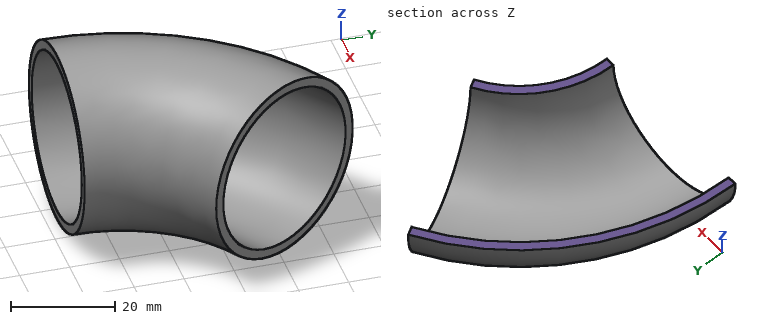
import cadquery as cq
import math

length_y = 55.45
outer_diameter = 38.0
wall = 2.0
bend_angle = 60.0

outer_radius = outer_diameter / 2
inner_radius = outer_radius - wall

bend_radius = length_y / math.sin(math.radians(bend_angle)) - outer_radius

axis_start = (bend_radius, 0)
axis_end = (bend_radius, -1)

result = (
    cq.Workplane("XZ")
    .circle(outer_radius)
    .circle(inner_radius)
    .revolve(bend_angle, axis_start, axis_end)
)